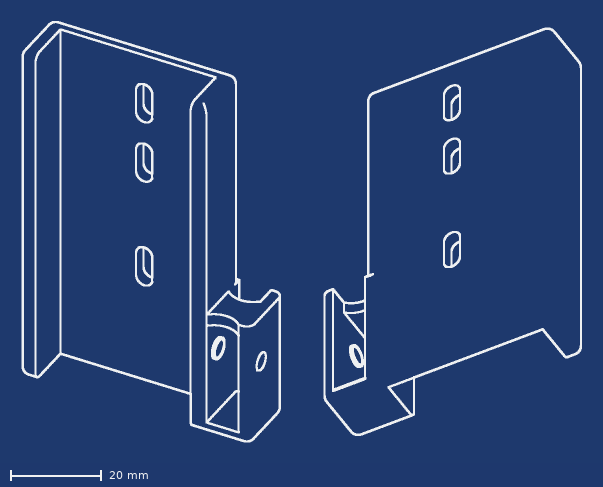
import cadquery as cq

height = 87.5
depth = 15.2
channel_width = 47.0
wall = 4.0
plate = 3.5
edge_radius = 2.0

overall_width = 58.0
holder_height = 32.0
holder_wall = 3.0

notch_side_depth = 10.2
notch_middle_depth = 8.6
scoop_depth = 1.7

slot_width = 4.0
slot_length = 10.15
slot_x = 25.0
slot_centers_z = (74.55, 58.5, 30.5)

hole_diameter = 4.3
rim_diameter = 5.0
rim_height = 0.5
hole_y = 5.0
hole_z = 20.0

opening_left = channel_width
opening_right = overall_width - holder_wall
opening_middle = (opening_left + opening_right) / 2


def block(x_min, x_max, y_min, y_max, z_min, z_max):
    """Box between the given limits."""
    size = (x_max - x_min, y_max - y_min, z_max - z_min)
    return cq.Workplane("XY").box(*size, centered=False).translate((x_min, y_min, z_min))


def x_cylinder(diameter, x_min, x_max):
    """Cylinder along X on the axis of the cross hole."""
    profile = cq.Workplane("YZ", origin=(x_min, hole_y, hole_z)).circle(diameter / 2)
    return profile.extrude(x_max - x_min)


def channel_body():
    """Solid channel envelope, sharp at the front right upright and bottom right edges."""
    body = block(0, channel_width, 0, depth, 0, height)
    left_edges = body.edges("<X")
    length_edges = body.edges("|X")
    right_edges = body.edges(">X and (>Y or >Z)")
    rounded_edges = left_edges.add(length_edges).add(right_edges)
    return rounded_edges.fillet(edge_radius)


def holder_body():
    """Solid holder envelope, rounded on its outer right side and bottom."""
    body = block(channel_width - wall, overall_width, 0, depth, 0, holder_height)
    return body.edges("(|Z and >X) or (<Z and (not <X))").fillet(edge_radius)


def holder_opening():
    """Front-to-back window below the roof plus the curved notches in the roof."""
    roof_bottom = holder_height - holder_wall
    window = block(opening_left, opening_right, 0, depth, holder_wall, roof_bottom)
    roof = cq.Workplane("XY", origin=(0, 0, roof_bottom))
    back_notch = (
        roof.moveTo(opening_left, depth)
        .lineTo(opening_left, notch_side_depth)
        .threePointArc((opening_middle, notch_middle_depth), (opening_right, notch_side_depth))
        .lineTo(opening_right, depth)
        .close()
        .extrude(holder_wall)
    )
    front_scoop = (
        roof.moveTo(opening_left, 0)
        .threePointArc((opening_middle, scoop_depth), (opening_right, 0))
        .close()
        .extrude(holder_wall)
    )
    return window.union(back_notch).union(front_scoop)


def floor_rounding():
    """Material above the rounded upper back edge of the holder floor."""
    edge_start = depth - edge_radius
    corner = block(opening_left, opening_right, edge_start, depth, holder_wall - edge_radius, holder_wall)
    rounding = (
        cq.Workplane("YZ", origin=(opening_left, edge_start, holder_wall - edge_radius))
        .circle(edge_radius)
        .extrude(opening_right - opening_left)
    )
    return corner.cut(rounding)


def slots():
    """Upright slots through the back plate."""
    centers = [(slot_x, z) for z in slot_centers_z]
    return (
        cq.Workplane("XZ", origin=(0, depth, 0))
        .pushPoints(centers)
        .slot2D(slot_length, slot_width, 90)
        .extrude(plate)
    )


channel_cavity = block(wall, channel_width - wall, 0, depth - plate, 0, height)

result = channel_body().union(holder_body())
result = result.cut(channel_cavity).cut(slots()).cut(holder_opening()).cut(floor_rounding())
result = result.union(x_cylinder(rim_diameter, opening_left, opening_left + rim_height))
result = result.union(x_cylinder(rim_diameter, opening_right - rim_height, opening_right))
result = result.cut(x_cylinder(hole_diameter, channel_width - wall, overall_width))